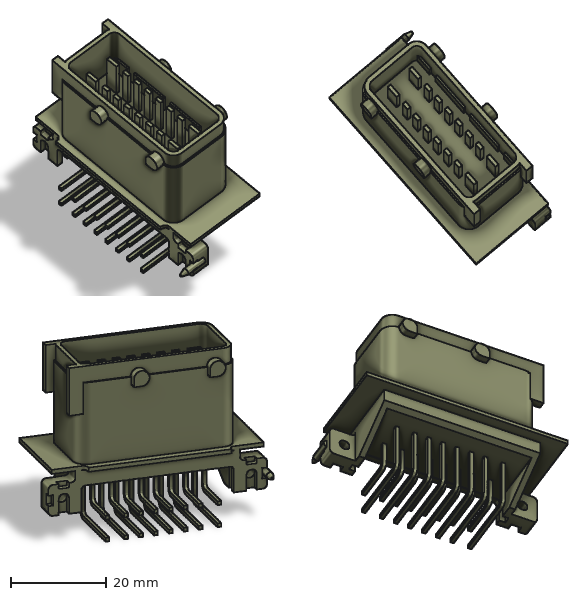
import cadquery as cq


shroud_length = 35.7
shroud_width = 17.0
shroud_radius = 3.0
shroud_top = 22.05
step_z = 18.4
step_inset = 0.4
rim_wall = 1.05
floor_z = 9.45
rim_length = shroud_length - 2 * step_inset
rim_width = shroud_width - 2 * step_inset
rim_radius = shroud_radius - step_inset
cavity_length = rim_length - 2 * rim_wall
cavity_width = rim_width - 2 * rim_wall
cavity_radius = rim_radius - rim_wall

prong_end_x = -19.5
prong_inner_x = -16.4
prong_bottom = 11.3
prong_thickness = 1.7

bump_centers_x = (-4.0, 13.0)
bump_radius = 1.75
bump_reach = 10.15

rib_proud = 0.5
rib_top = 13.5
rib_gap = 1.95
rib_pitch = 11.0
rib_gap_centers_x = (-rib_pitch, 0, rib_pitch)

flange_length = 47.45
flange_back_y = 11.1
flange_thickness = 0.95
front_y = -8.9
lip_y = -10.35
lip_half_length = 16.0
lip_fillet = 1.05

neck_half_length = 18.4
gusset_thickness = 1.4
gusset_back_y = 8.8
gusset_corner_z = -3.9
gusset_toe_y = -2.9
body_bottom = -4.65
panel_bottom = -4.5
panel_thickness = 1.4
panel_fillet = 0.85
leg_inner_x = neck_half_length - gusset_thickness

ear_half_length = 24.5
ear_top = -3.45
ear_bottom = -10.45
ear_back_y = -4.55
ear_radius = 1.05
neck_radius = 0.95
hole_x = 21.0
hole_diameter = 2.35
hole_z = (ear_top + ear_bottom) / 2
notch_depth = 1.4
notch_inset = 1.1
top_notch_radius = 0.3
side_slot_back_y = -6.0

peg_x = 24.4
peg_radius = 0.8
peg_back_y = -5.95
peg_shoulder_y = -10.85
peg_tip_radius = 0.3

back_pin_y = 2.95
front_pin_y = -3.05
pin_thickness = 0.85
pin_pitch = 3.35
narrow_pin_count = 6
end_pin_x = 12.5
blade_width = 1.6
end_blade_width = 2.9
blade_top = step_z
tail_end_y = -12.4
tail_bottom_z = -16.35
row_drop = 4.95
bend_radius = 0.9


def box(x0, x1, y0, y1, z0, z1):
    """Box between two opposite corners."""
    return cq.Workplane("XY").box(x1 - x0, y1 - y0, z1 - z0, centered=False).translate((x0, y0, z0))


def rounded_prism(length, width, radius, z0, z1):
    """Upright prism with rounded corners, centred on the Z axis."""
    prism = cq.Workplane("XY", origin=(0, 0, z0)).rect(length, width).extrude(z1 - z0)
    return prism.edges("|Z").fillet(radius)


def both_ends(shape):
    """Shape joined with its mirror image across X = 0."""
    return shape.union(shape.mirror("YZ"))


def both_sides(shape):
    """Shape joined with its mirror image across Y = 0."""
    return shape.union(shape.mirror("XZ"))


def y_cylinder(x, z, radius, y0, y1):
    """Cylinder along Y."""
    return cq.Workplane("XZ", origin=(x, y0, z)).circle(radius).extrude(y0 - y1)


def make_shroud():
    lower = rounded_prism(shroud_length, shroud_width, shroud_radius, -flange_thickness, step_z)
    rim = rounded_prism(rim_length, rim_width, rim_radius, step_z, shroud_top)
    outer_y = rim_width / 2
    inner_y = outer_y - prong_thickness
    prong = box(prong_end_x, prong_inner_x, inner_y, outer_y, prong_bottom, shroud_top)
    straight_end_x = rim_radius - rim_length / 2
    prong_root = box(prong_inner_x, straight_end_x, inner_y, outer_y, step_z, shroud_top)
    bumps = cq.Workplane("XY")
    for x in bump_centers_x:
        bumps = bumps.union(y_cylinder(x, step_z, bump_radius, cavity_width / 2, bump_reach))
        bumps = bumps.union(
            box(x - bump_radius, x, cavity_width / 2, bump_reach, step_z - bump_radius, step_z)
        )
    shell = lower.union(rim).union(both_sides(prong.union(prong_root).union(bumps)))
    return shell.cut(make_cavity())


def make_cavity():
    """Open space inside the shroud, narrowed near the floor by the key ribs."""
    cavity = rounded_prism(cavity_length, cavity_width, cavity_radius, floor_z, shroud_top)
    half_length = cavity_length / 2
    half_width = cavity_width / 2
    ribs = box(-half_length, half_length, half_width - rib_proud, half_width, floor_z, rib_top)
    for x in rib_gap_centers_x:
        ribs = ribs.cut(
            box(x - rib_gap / 2, x + rib_gap / 2, 0, half_width, floor_z, rib_top)
        )
    return cavity.cut(both_sides(ribs))


def make_flange():
    half_length = flange_length / 2
    plate = box(-half_length, half_length, front_y, flange_back_y, -flange_thickness, 0)
    lip = (
        cq.Workplane("XY", origin=(0, 0, -flange_thickness))
        .moveTo(-lip_half_length - lip_fillet, front_y)
        .radiusArc((-lip_half_length, front_y - lip_fillet), lip_fillet)
        .lineTo(-lip_half_length, lip_y)
        .lineTo(lip_half_length, lip_y)
        .lineTo(lip_half_length, front_y - lip_fillet)
        .radiusArc((lip_half_length + lip_fillet, front_y), lip_fillet)
        .close()
        .extrude(flange_thickness)
    )
    return plate.union(lip)


def make_body():
    """Solid block and end gussets under the flange, cut from one sloped profile."""
    profile = [
        (front_y, -flange_thickness),
        (gusset_back_y, -flange_thickness),
        (gusset_back_y, gusset_corner_z),
        (gusset_toe_y, ear_bottom),
        (front_y, ear_bottom),
    ]
    body = (
        cq.Workplane("YZ", origin=(-neck_half_length, 0, 0))
        .polyline(profile)
        .close()
        .extrude(2 * neck_half_length)
    )
    panel_back_y = front_y + panel_thickness
    opening = box(-leg_inner_x, leg_inner_x, panel_back_y, gusset_back_y, ear_bottom, body_bottom)
    panel_recess = box(-leg_inner_x, leg_inner_x, front_y, panel_back_y, ear_bottom, panel_bottom)
    panel_recess = panel_recess.edges("|Y and >Z").fillet(panel_fillet)
    return body.cut(opening).cut(panel_recess)


def make_ear():
    """Right-hand mounting ear with its neck fillet."""
    depth = ear_back_y - front_y
    ear = box(leg_inner_x, ear_half_length, front_y, ear_back_y, ear_bottom, ear_top)
    ear = ear.edges("|Y and >X").fillet(ear_radius)
    neck_fillet = (
        cq.Workplane("XZ", origin=(0, ear_back_y, 0))
        .moveTo(neck_half_length, ear_top)
        .lineTo(neck_half_length + neck_radius, ear_top)
        .radiusArc((neck_half_length, ear_top + neck_radius), neck_radius)
        .close()
        .extrude(depth)
    )
    return ear.union(neck_fillet)


def make_ear_cuts():
    """Hole, the notches around it and the inner side slot of the right-hand ear."""
    half = hole_diameter / 2
    notch_back_y = front_y + notch_depth
    left_x = hole_x - half
    right_x = hole_x + half
    hole = y_cylinder(hole_x, hole_z, half, front_y, ear_back_y)
    lower_slot = box(left_x, right_x, front_y, notch_back_y, ear_bottom, hole_z)
    top_notch = box(left_x, right_x, front_y, notch_back_y, ear_top - notch_inset, ear_top)
    top_notch = top_notch.edges("|Y and <Z").fillet(top_notch_radius)
    side_notch = box(
        ear_half_length - notch_inset, ear_half_length,
        front_y, notch_back_y,
        hole_z - half, hole_z + half,
    )
    side_slot = box(
        leg_inner_x, neck_half_length,
        notch_back_y, side_slot_back_y,
        ear_bottom, body_bottom,
    )
    return hole.union(lower_slot).union(top_notch).union(side_notch).union(side_slot)


def make_peg():
    return (
        cq.Workplane("XY", origin=(peg_x, 0, hole_z))
        .moveTo(0, peg_back_y)
        .lineTo(peg_radius, peg_back_y)
        .lineTo(peg_radius, peg_shoulder_y)
        .lineTo(peg_tip_radius, tail_end_y)
        .lineTo(0, tail_end_y)
        .close()
        .revolve(360, (0, 0, 0), (0, 1, 0))
    )


def make_pin(x, y, width, bottom_z):
    """Blade in the shroud with a narrower tail bent towards -Y."""
    half = pin_thickness / 2
    blade = box(x - width / 2, x + width / 2, y - half, y + half, floor_z - pin_thickness, blade_top)
    outer_radius = bend_radius + pin_thickness
    tail_top_z = bottom_z + pin_thickness
    tail = (
        cq.Workplane("YZ", origin=(x - half, 0, 0))
        .moveTo(y + half, floor_z)
        .lineTo(y + half, bottom_z + outer_radius)
        .radiusArc((y + half - outer_radius, bottom_z), outer_radius)
        .lineTo(tail_end_y, bottom_z)
        .lineTo(tail_end_y, tail_top_z)
        .lineTo(y - half - bend_radius, tail_top_z)
        .radiusArc((y - half, tail_top_z + bend_radius), -bend_radius)
        .lineTo(y - half, floor_z)
        .close()
        .extrude(pin_thickness)
    )
    return blade.union(tail)


def make_pins():
    first_x = -(narrow_pin_count - 1) / 2 * pin_pitch
    columns = [(first_x + i * pin_pitch, blade_width) for i in range(narrow_pin_count)]
    columns += [(-end_pin_x, end_blade_width), (end_pin_x, end_blade_width)]
    pins = cq.Workplane("XY")
    for x, width in columns:
        pins = pins.union(make_pin(x, back_pin_y, width, tail_bottom_z))
        pins = pins.union(make_pin(x, front_pin_y, width, tail_bottom_z + row_drop))
    return pins


housing = make_flange().union(make_body()).union(both_ends(make_ear()))
housing = housing.cut(both_ends(make_ear_cuts()))
result = housing.union(make_shroud()).union(make_peg()).union(make_pins())